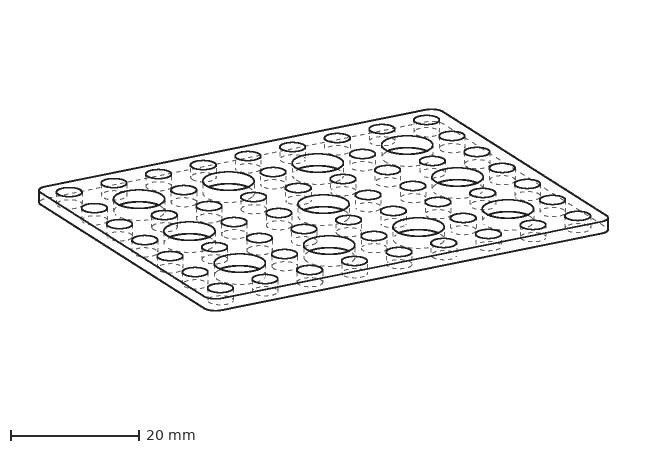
import cadquery as cq

pitch = 8.0
columns = 7
rows = 9
thickness = 2.0
corner_size = 2.0
small_hole_diameter = 4.0
large_hole_diameter = 8.0

width = columns * pitch
length = rows * pitch

outer_large_cells = [(x, y) for x in (-2, 2) for y in (-3, -1, 1, 3)]
middle_large_cells = [(0, y) for y in (-3, 0, 3)]
large_cells = outer_large_cells + middle_large_cells


def grid_cells():
    """All grid cells, counted from the plate centre."""
    half_columns = columns // 2
    half_rows = rows // 2
    return [
        (x, y)
        for x in range(-half_columns, half_columns + 1)
        for y in range(-half_rows, half_rows + 1)
    ]


def make_plate():
    """Flat plate with rounded vertical corners, resting on Z = 0."""
    plate = cq.Workplane("XY").box(width, length, thickness, centered=(True, True, False))
    return plate.edges("|Z").fillet(corner_size)


def drill(plate, cells, diameter):
    """Through holes of one diameter at the given grid cells."""
    centres = [(x * pitch, y * pitch) for x, y in cells]
    cutters = cq.Workplane("XY").pushPoints(centres).circle(diameter / 2).extrude(thickness)
    return plate.cut(cutters)


small_cells = [cell for cell in grid_cells() if cell not in large_cells]

result = make_plate()
result = drill(result, small_cells, small_hole_diameter)
result = drill(result, large_cells, large_hole_diameter)